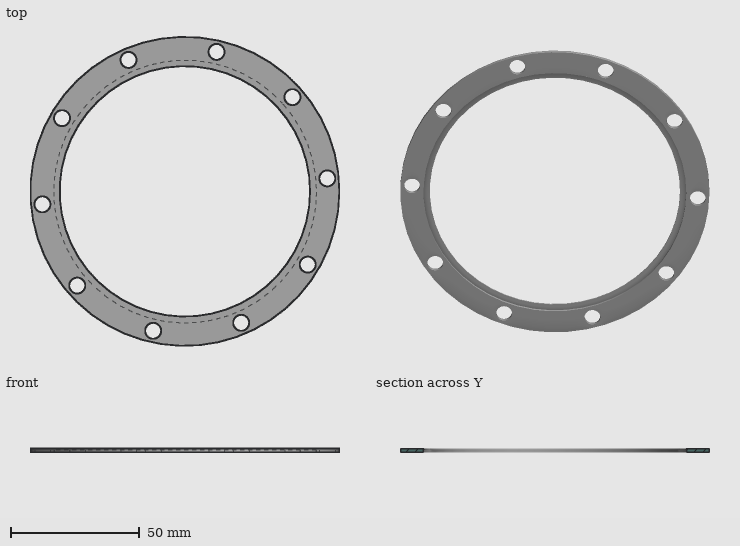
import cadquery as cq

outer_diameter = 119.9
inner_diameter = 97.0
thickness = 1.5

lip_thickness = 0.5
recess_diameter = 101.9

hole_count = 10
hole_diameter = 6.1
bolt_circle_diameter = 110.9
first_hole_angle = 5.2

ring = (
    cq.Workplane("XY")
    .circle(outer_diameter / 2)
    .circle(inner_diameter / 2)
    .extrude(thickness)
)

underside_recess = (
    cq.Workplane("XY")
    .circle(recess_diameter / 2)
    .extrude(thickness - lip_thickness)
)

bolt_holes = (
    cq.Workplane("XY")
    .polarArray(bolt_circle_diameter / 2, first_hole_angle, 360, hole_count)
    .circle(hole_diameter / 2)
    .extrude(thickness)
)

result = ring.cut(underside_recess).cut(bolt_holes)